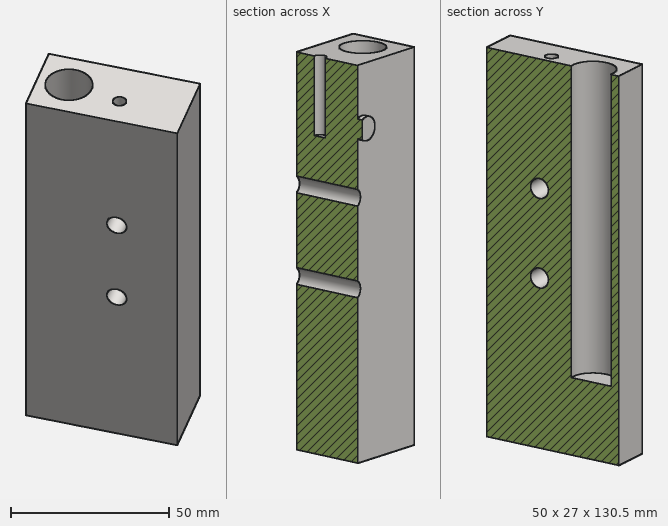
import cadquery as cq

width = 50.0
height = 130.5
total_depth = 27.0
button_height = 2.0
depth = total_depth - button_height

bore_diameter = 15.0
bore_x = 10.5
bore_y = depth / 2
bore_depth = 104.4
small_hole_diameter = 4.3
small_hole_x = 28.0
small_hole_y = 9.5
small_hole_depth = 26.1

cross_hole_diameter = 6.5
cross_hole_x = 30.0
lower_cross_hole_z = 57.0
cross_hole_spacing = 30.0

button_diameter = 8.0
button_x = 26.0
button_z = 109.6


def top_hole(x, y, diameter, hole_depth):
    """Cylinder reaching down from the top face."""
    return (
        cq.Workplane("XY", origin=(x, y, height))
        .circle(diameter / 2)
        .extrude(-hole_depth)
    )


def back_cylinder(x, z, diameter, start_y, length):
    """Cylinder along +Y, starting at start_y."""
    return (
        cq.Workplane("XZ", origin=(x, start_y, z))
        .circle(diameter / 2)
        .extrude(-length)
    )


result = cq.Workplane("XY").box(width, depth, height, centered=False)

result = result.cut(top_hole(bore_x, bore_y, bore_diameter, bore_depth))
result = result.cut(top_hole(small_hole_x, small_hole_y, small_hole_diameter, small_hole_depth))

for z in (lower_cross_hole_z, lower_cross_hole_z + cross_hole_spacing):
    result = result.cut(back_cylinder(cross_hole_x, z, cross_hole_diameter, 0, depth))

result = result.union(back_cylinder(button_x, button_z, button_diameter, depth, button_height))